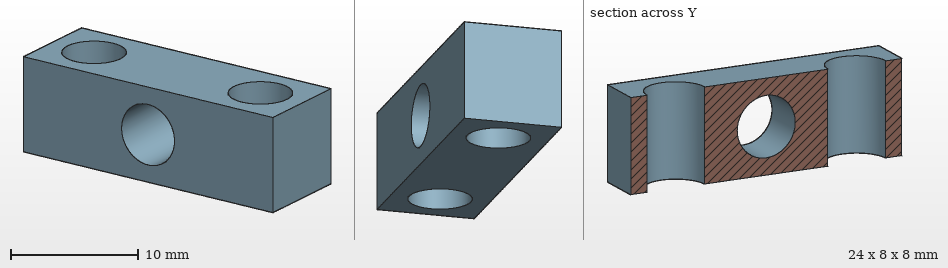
import cadquery as cq

length = 24.0
side = length / 3

hole_diameter = 5.1
end_hole_spacing = length - side

bar = cq.Workplane("XY").box(length, side, side)

end_holes = [(-end_hole_spacing / 2, 0), (end_hole_spacing / 2, 0)]
bar = bar.faces(">Z").workplane().pushPoints(end_holes).hole(hole_diameter)

result = bar.faces("<Y").workplane(centerOption="CenterOfBoundBox").hole(hole_diameter)